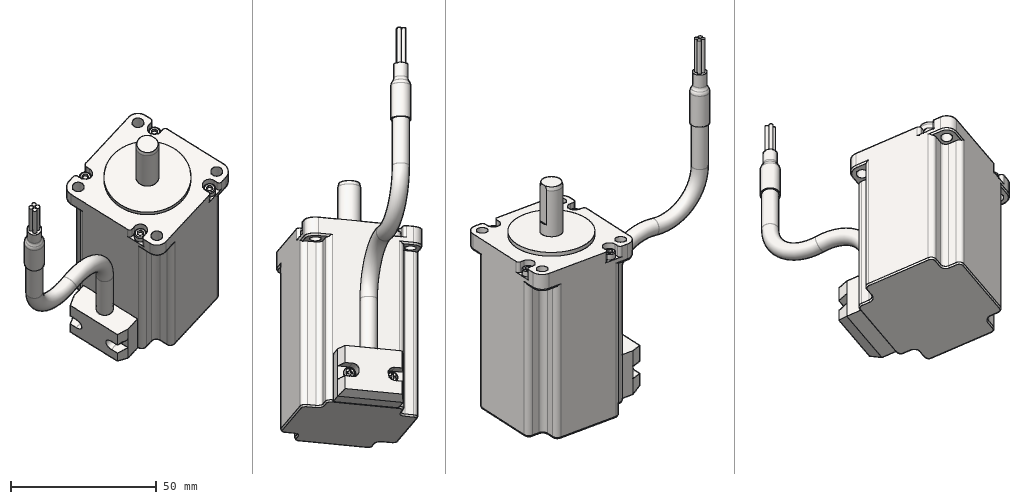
import cadquery as cq
import math

body_width = 42.0
half_width = body_width / 2
notch_start = 12.0
notch_radius = 2.0
notch_wall = notch_start + notch_radius
bottom_chamfer_height = 0.7
bottom_chamfer_depth = 0.4

flange_top = 67.0
flange_bottom = 60.4
flange_corner_radius = 4.0
flange_chamfer_height = 0.75
flange_chamfer_depth = 0.4
mounting_hole_spacing = 34.0
mounting_hole_diameter = 4.0

pilot_diameter = 30.0
pilot_top = 68.5
shaft_diameter = 8.0
shaft_top = 88.0
shaft_chamfer_height = 1.4
shaft_chamfer_depth = 0.35
shaft_flat_distance = 3.5
shaft_flat_start = 73.0

screw_offset_along_side = 11.0
screw_offset_from_side = 2.5
pocket_radius = 2.45
pocket_depth = 4.2
pocket_mouth_radius = 1.1
screw_head_diameter = 4.2
screw_head_height = 2.4
screw_head_chamfer = 0.35
hex_socket_diameter = 2.3
hex_socket_depth = 1.2

box_width = 23.4
box_front = -30.5
box_bottom = 0.2
box_top = 17.5
box_bevel_width = 1.5
box_bevel_depth = 4.1
box_shoulder = box_front + box_bevel_depth

box_screw_x = 7.6
box_screw_z = 8.85
box_slot_width = 4.8
box_screw_diameter = 4.1
box_screw_height = 1.1
box_screw_chamfer = 0.5
cross_length = 2.2
cross_width = 0.7
cross_depth = 0.7

cable_diameter = 6.0
cable_lower_y = -24.28
cable_shift = 40.0
cable_upper_y = cable_lower_y - cable_shift
bend_start = 37.5
bend_end = 72.5

sleeve_diameter = 7.0
sleeve_bottom = 89.5
sleeve_shoulder = 101.7
neck_top = 104.5
jacket_diameter = 5.0
jacket_top = 109.5
wire_diameter = 1.5
wire_offset = 0.8
wire_top = 122.6

joint_overlap = 0.5

arc_midpoint_ratio = 1 - math.sqrt(0.5)

quarter_turn = 90


def cylinder(x, y, bottom, top, diameter):
    """Vertical cylinder between two heights."""
    return cq.Workplane("XY", origin=(x, y, bottom)).circle(diameter / 2).extrude(top - bottom)


def make_corner_notch(angle):
    """Cutter for one corner of the column, with rounded edges, turned about Z."""
    radius_shift = notch_radius * arc_midpoint_ratio
    inner_start = notch_wall + notch_radius
    outer_end = half_width - notch_radius
    return (
        cq.Workplane("XY")
        .moveTo(notch_start, half_width)
        .threePointArc(
            (notch_wall - radius_shift, half_width - radius_shift),
            (notch_wall, outer_end),
        )
        .lineTo(notch_wall, inner_start)
        .threePointArc(
            (notch_wall + radius_shift, notch_wall + radius_shift),
            (inner_start, notch_wall),
        )
        .lineTo(outer_end, notch_wall)
        .threePointArc(
            (half_width - radius_shift, notch_wall - radius_shift),
            (half_width, notch_start),
        )
        .lineTo(half_width, half_width)
        .close()
        .extrude(flange_top)
        .rotate((0, 0, 0), (0, 0, 1), angle)
    )


def make_column():
    """Square column with its four corners notched and its bottom edge bevelled."""
    column = cq.Workplane("XY").rect(body_width, body_width).extrude(flange_top)
    for corner in range(4):
        column = column.cut(make_corner_notch(quarter_turn * corner))
    return column.faces("<Z").chamfer(bottom_chamfer_depth, bottom_chamfer_height)


def make_flange():
    """Round-cornered square flange with a bevel around its lower rim."""
    flange = (
        cq.Workplane("XY", origin=(0, 0, flange_bottom))
        .rect(body_width, body_width)
        .extrude(flange_top - flange_bottom)
        .edges("|Z")
        .fillet(flange_corner_radius)
    )
    return flange.faces("<Z").chamfer(flange_chamfer_height, flange_chamfer_depth)


def make_shaft():
    """Pilot disc and shaft with a bevelled end and a flat on the +Y side."""
    pilot = cylinder(0, 0, flange_top - joint_overlap, pilot_top, pilot_diameter)
    shaft = cylinder(0, 0, flange_top, shaft_top, shaft_diameter)
    shaft = shaft.faces(">Z").chamfer(shaft_chamfer_height, shaft_chamfer_depth)
    flat = cq.Workplane("XY", origin=(0, shaft_flat_distance, shaft_flat_start)).box(
        shaft_diameter, shaft_diameter, shaft_top - shaft_flat_start, centered=(True, False, False)
    )
    return pilot.union(shaft.cut(flat))


def make_screw_pocket():
    """Cutter for the pocket on the -Y side, with a rounded mouth on the flange side."""
    screw_y = screw_offset_from_side - half_width
    mouth = pocket_radius + pocket_mouth_radius
    mouth_y = pocket_mouth_radius - half_width
    arc_shift = pocket_mouth_radius * arc_midpoint_ratio
    return (
        cq.Workplane("XY", origin=(screw_offset_along_side, 0, flange_top - pocket_depth))
        .moveTo(-mouth, -half_width)
        .threePointArc((-pocket_radius - arc_shift, arc_shift - half_width), (-pocket_radius, mouth_y))
        .lineTo(-pocket_radius, screw_y)
        .threePointArc((0, screw_y + pocket_radius), (pocket_radius, screw_y))
        .lineTo(pocket_radius, mouth_y)
        .threePointArc((pocket_radius + arc_shift, arc_shift - half_width), (mouth, -half_width))
        .close()
        .extrude(pocket_depth)
    )


def make_housing_screw():
    """Head of the screw on the -Y side, with a hexagon socket."""
    floor = flange_top - pocket_depth
    screw_y = screw_offset_from_side - half_width
    head_top = floor + screw_head_height
    head = cylinder(
        screw_offset_along_side, screw_y, floor - joint_overlap, head_top, screw_head_diameter
    )
    head = head.faces(">Z").chamfer(screw_head_chamfer)
    socket = (
        cq.Workplane("XY", origin=(screw_offset_along_side, screw_y, head_top - hex_socket_depth))
        .polygon(6, hex_socket_diameter)
        .extrude(hex_socket_depth)
    )
    return head.cut(socket)


def make_outlet_box():
    """Cable outlet box, bevelled at both ends and at the bottom of its front."""
    half_box = box_width / 2
    rear = joint_overlap - half_width
    plan = (
        cq.Workplane("XY", origin=(0, 0, box_bottom))
        .moveTo(-half_box, rear)
        .lineTo(-half_box, box_shoulder)
        .lineTo(box_bevel_width - half_box, box_front)
        .lineTo(half_box - box_bevel_width, box_front)
        .lineTo(half_box, box_shoulder)
        .lineTo(half_box, rear)
        .close()
        .extrude(box_top - box_bottom)
    )
    lower_bevel = (
        cq.Workplane("YZ")
        .moveTo(box_shoulder, box_bottom)
        .lineTo(box_front, box_bottom)
        .lineTo(box_front, box_bottom + box_bevel_width)
        .close()
        .extrude(half_box, both=True)
    )
    return plan.cut(lower_bevel)


def make_box_slot(side):
    """Cutter for the slot at one end of the outlet box; side is -1 or 1."""
    round_end = (
        cq.Workplane("XZ", origin=(side * box_screw_x, box_shoulder, box_screw_z))
        .circle(box_slot_width / 2)
        .extrude(box_bevel_depth)
    )
    reach = box_width / 2 - box_screw_x
    channel = (
        cq.Workplane("XZ", origin=(side * (box_screw_x + reach / 2), box_shoulder, box_screw_z))
        .rect(reach, box_slot_width)
        .extrude(box_bevel_depth)
    )
    return round_end.union(channel)


def make_box_screw(side):
    """Cross-recessed screw head at one end of the outlet box; side is -1 or 1."""
    base = cq.Workplane("XZ", origin=(side * box_screw_x, box_shoulder + joint_overlap, box_screw_z))
    head_length = box_screw_height + joint_overlap
    head = base.circle(box_screw_diameter / 2).extrude(head_length)
    head = head.faces("<Y").chamfer(box_screw_chamfer)
    recess = base.workplane(offset=head_length - cross_depth)
    for length, height in ((cross_length, cross_width), (cross_width, cross_length)):
        head = head.cut(recess.rect(length, height).extrude(cross_depth))
    return head


def make_cable():
    """Round cable following two straight runs joined by an S-bend."""
    half_shift = cable_shift / 2
    half_rise = (bend_end - bend_start) / 2
    bend_angle = 2 * math.atan2(half_shift, half_rise)
    bend_radius = half_rise / math.sin(bend_angle)
    sagitta_y = bend_radius * (1 - math.cos(bend_angle / 2))
    sagitta_z = bend_radius * math.sin(bend_angle / 2)
    path = (
        cq.Workplane("YZ")
        .moveTo(cable_lower_y, box_top - joint_overlap)
        .lineTo(cable_lower_y, bend_start)
        .threePointArc(
            (cable_lower_y - sagitta_y, bend_start + sagitta_z),
            (cable_lower_y - half_shift, bend_start + half_rise),
        )
        .threePointArc(
            (cable_upper_y + sagitta_y, bend_end - sagitta_z),
            (cable_upper_y, bend_end),
        )
        .lineTo(cable_upper_y, sleeve_bottom + joint_overlap)
    )
    return (
        cq.Workplane("XY", origin=(0, cable_lower_y, box_top - joint_overlap))
        .circle(cable_diameter / 2)
        .sweep(path)
    )


def make_cable_end():
    """Sleeve whose neck narrows to the inner jacket, with four wires coming out."""
    sleeve_radius = sleeve_diameter / 2
    jacket_radius = jacket_diameter / 2
    neck_middle = ((sleeve_radius + jacket_radius) / 2, (sleeve_shoulder + neck_top) / 2)
    end = (
        cq.Workplane("XZ")
        .moveTo(0, sleeve_bottom)
        .lineTo(sleeve_radius, sleeve_bottom)
        .lineTo(sleeve_radius, sleeve_shoulder)
        .tangentArcPoint(neck_middle, relative=False)
        .tangentArcPoint((jacket_radius, neck_top), relative=False)
        .lineTo(jacket_radius, jacket_top)
        .lineTo(0, jacket_top)
        .close()
        .revolve(360, (0, 0, 0), (0, 1, 0))
        .translate((0, cable_upper_y, 0))
    )
    for x in (-wire_offset, wire_offset):
        for y in (-wire_offset, wire_offset):
            wire = cylinder(x, cable_upper_y + y, jacket_top - joint_overlap, wire_top, wire_diameter)
            end = end.union(wire)
    return end


motor = make_column().union(make_flange())
hole_position = mounting_hole_spacing / 2
for x_side in (-1, 1):
    for y_side in (-1, 1):
        hole = cylinder(x_side * hole_position, y_side * hole_position, 0, flange_top, mounting_hole_diameter)
        motor = motor.cut(hole)
motor = motor.union(make_shaft())

for quarter in range(4):
    pocket = make_screw_pocket().rotate((0, 0, 0), (0, 0, 1), quarter_turn * quarter)
    screw = make_housing_screw().rotate((0, 0, 0), (0, 0, 1), quarter_turn * quarter)
    motor = motor.cut(pocket).union(screw)

outlet = make_outlet_box()
for end_side in (-1, 1):
    outlet = outlet.cut(make_box_slot(end_side)).union(make_box_screw(end_side))

result = motor.union(outlet).union(make_cable()).union(make_cable_end())